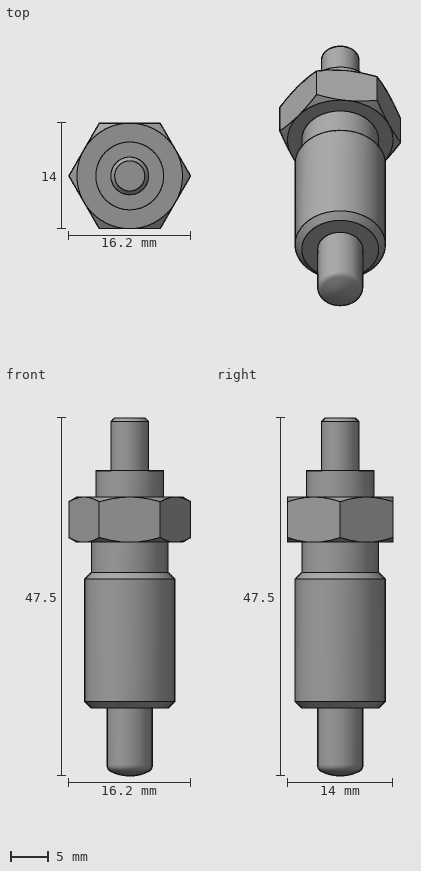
import cadquery as cq
import math


hex_across_flats = 14.0
hex_height = 6.0
hex_chamfer_angle = math.radians(30)
collar_diameter = 9.0
collar_height = 3.5
neck_diameter = 10.2
neck_length = 4.0
barrel_diameter = 12.0
barrel_length = 18.0
barrel_chamfer = (barrel_diameter - neck_diameter) / 2

nose_diameter = 6.0
nose_projection = 9.0
nose_dome_radius = 5.5
nose_edge_radius = 0.9
stem_diameter = 5.0
stem_projection = 7.0
stem_chamfer = 0.5

collar_top = hex_height + collar_height
barrel_top = -neck_length
barrel_bottom = barrel_top - barrel_length
pin_step = 0.0
pin_top = collar_top + stem_projection
pin_bottom = barrel_bottom - nose_projection


def cylinder(diameter, bottom, top):
    return cq.Workplane("XY").workplane(offset=bottom).circle(diameter / 2).extrude(top - bottom)


def make_hexagon():
    """Hexagon with corners on the X axis, turned to a cone at its top and bottom."""
    corner_radius = hex_across_flats / 2 / math.cos(math.pi / 6)
    face_radius = hex_across_flats / 2
    corner_drop = (corner_radius - face_radius) * math.tan(hex_chamfer_angle)
    prism = cq.Workplane("XY").polygon(6, 2 * corner_radius).extrude(hex_height)
    turned_envelope = (
        cq.Workplane("XZ")
        .moveTo(0, 0)
        .lineTo(face_radius, 0)
        .lineTo(corner_radius, corner_drop)
        .lineTo(corner_radius, hex_height - corner_drop)
        .lineTo(face_radius, hex_height)
        .lineTo(0, hex_height)
        .close()
        .revolve(360, (0, 0, 0), (0, 1, 0))
    )
    return prism.intersect(turned_envelope)


def make_housing():
    """Collar, hexagon, neck and chamfered barrel, with a stepped bore that fits the pin."""
    collar = cylinder(collar_diameter, hex_height, collar_top)
    neck = cylinder(neck_diameter, barrel_top, 0)
    barrel = cylinder(barrel_diameter, barrel_bottom, barrel_top).edges("%CIRCLE").chamfer(barrel_chamfer)
    stem_bore = cylinder(stem_diameter, pin_step, collar_top)
    nose_bore = cylinder(nose_diameter, barrel_bottom, pin_step)
    outside = make_hexagon().union(collar).union(neck).union(barrel)
    return outside.cut(stem_bore).cut(nose_bore).solids()


def make_pin():
    """Stem with a chamfered end, and a wider nose with a domed end and a tangent rounded edge."""
    nose_radius = nose_diameter / 2
    stem_radius = stem_diameter / 2

    dome_center = pin_bottom + nose_dome_radius
    edge_center_radius = nose_radius - nose_edge_radius
    dome_angle = math.asin(edge_center_radius / (nose_dome_radius - nose_edge_radius))
    edge_center = dome_center - (nose_dome_radius - nose_edge_radius) * math.cos(dome_angle)

    def dome_point(angle):
        return (nose_dome_radius * math.sin(angle), dome_center - nose_dome_radius * math.cos(angle))

    edge_middle_angle = (dome_angle + math.pi / 2) / 2
    edge_middle = (
        edge_center_radius + nose_edge_radius * math.sin(edge_middle_angle),
        edge_center - nose_edge_radius * math.cos(edge_middle_angle),
    )
    return (
        cq.Workplane("XZ")
        .moveTo(0, pin_bottom)
        .threePointArc(dome_point(dome_angle / 2), dome_point(dome_angle))
        .threePointArc(edge_middle, (nose_radius, edge_center))
        .lineTo(nose_radius, pin_step)
        .lineTo(stem_radius, pin_step)
        .lineTo(stem_radius, pin_top - stem_chamfer)
        .lineTo(stem_radius - stem_chamfer, pin_top)
        .lineTo(0, pin_top)
        .close()
        .revolve(360, (0, 0, 0), (0, 1, 0))
    )


housing = make_housing()
pin = make_pin()

result = cq.Compound.makeCompound([housing.val(), pin.val()])